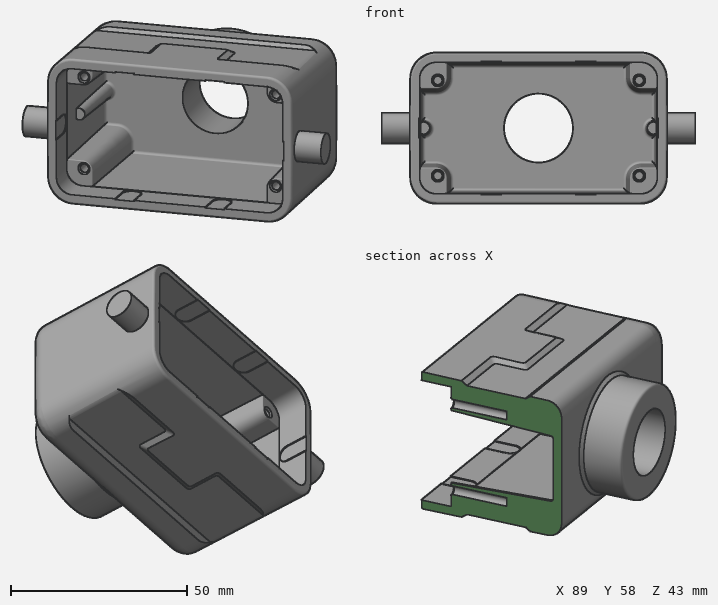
import cadquery as cq
import math

total_length = 89.0
total_depth = 58.0
mouth_height = 43.0
hood_width = 73.2
hood_depth = 44.95
hood_draft = 0.5
corner_radius = 7.6
rear_edge_radius = 4.6
mouth_edge_radius = 0.7

neck_diameter = 34.0
neck_bore_diameter = 19.5
neck_rim_radius = 0.8
neck_root_chamfer = 1.0

pin_diameter = 8.8
pin_from_mouth = 6.2

rim_thickness = 2.85
mouth_section_depth = 9.4
cavity_step = 0.13
cavity_draft = 1.3
cavity_corner_radius = 4.7
floor_thickness = 2.85
floor_edge_radius = 0.8

boss_inner_x = 26.0
boss_inner_z = 11.2
boss_corner_radius = 3.0
boss_draft = 2.0
boss_edge_radius = 0.3
screw_x = 28.6
screw_z = 13.5
screw_hole_diameter = 2.5
screw_hole_depth = 17.8
countersink_diameter = 3.5
countersink_angle = 90.0

rib_diameter = 3.5
rib_center_x = 32.6
rib_start = 17.35

groove_width = 5.6
groove_depth = 0.3
groove_offset_x = 13.4

recess_half_height = 20.2
recess_front = 14.7
recess_rear = 33.4
recess_wall_angle = 56.5
tongue_half_width = 11.7
tongue_end = 24.9
tongue_corner_radius = 2.0
recess_end_radius = 2.0

edge_search_margin = 0.45

half_width = hood_width / 2
half_height = mouth_height / 2
cavity_half_width = half_width - rim_thickness
cavity_half_height = half_height - rim_thickness
floor_y = hood_depth - floor_thickness
drafted_depth = floor_y - mouth_section_depth


def facing_rear(y):
    """Workplane at depth y with its normal along +Y."""
    return cq.Workplane(cq.Plane(origin=(0, y, 0), xDir=(1, 0, 0), normal=(0, 1, 0)))


def make_hood():
    draft = math.tan(math.radians(hood_draft))
    rear_half_height = half_height - hood_depth * draft
    wedge = (
        cq.Workplane("YZ")
        .polyline([
            (0, -half_height),
            (hood_depth, -rear_half_height),
            (hood_depth, rear_half_height),
            (0, half_height),
        ])
        .close()
        .extrude(half_width, both=True)
    )
    edge_half_width = half_width - half_height * draft
    sides = (
        facing_rear(0)
        .polyline([
            (-half_width, 0),
            (-edge_half_width, half_height),
            (edge_half_width, half_height),
            (half_width, 0),
            (edge_half_width, -half_height),
            (-edge_half_width, -half_height),
        ])
        .close()
        .extrude(hood_depth)
    )
    hood = wedge.intersect(sides)
    for low, high in ((-mouth_height, -half_height / 2), (half_height / 2, mouth_height)):
        corners = cq.selectors.BoxSelector(
            (-total_length, hood_depth / 4, low),
            (total_length, hood_depth * 3 / 4, high),
        )
        hood = hood.edges(corners).fillet(corner_radius)
    hood = hood.faces(">Y").edges().fillet(rear_edge_radius)
    return hood.faces("<Y").edges().fillet(mouth_edge_radius)


def add_neck(hood):
    neck_start = hood_depth - rear_edge_radius / 2
    neck = facing_rear(neck_start).circle(neck_diameter / 2).extrude(total_depth - neck_start)
    neck = neck.faces(">Y").edges().fillet(neck_rim_radius)
    joined = hood.union(neck)
    root = cq.selectors.BoxSelector(
        (-neck_diameter, hood_depth - edge_search_margin, -neck_diameter),
        (neck_diameter, hood_depth + edge_search_margin, neck_diameter),
    )
    return joined.edges(root).chamfer(neck_root_chamfer)


def make_recess():
    """Recess cutter for the upper face; its walls slope outward to the surface."""
    depth = half_height - recess_half_height
    floor_plane = cq.Workplane("XY", origin=(0, 0, recess_half_height))
    field = (
        floor_plane
        .center(0, (recess_front + recess_rear) / 2)
        .rect(hood_width, recess_rear - recess_front)
        .extrude(depth, taper=-recess_wall_angle)
    )
    tongue = (
        floor_plane
        .center(0, tongue_end / 2)
        .rect(2 * tongue_half_width, tongue_end)
        .extrude(depth, taper=recess_wall_angle)
    )
    tongue = tongue.faces(">Y").edges("not (|X or |Y)").fillet(tongue_corner_radius)
    recess = field.cut(tongue)
    tongue_roots = cq.selectors.BoxSelector(
        (-tongue_half_width, 0, 0),
        (tongue_half_width, recess_front, mouth_height),
    )
    return recess.edges(tongue_roots).edges("not (|X or |Y)").fillet(tongue_corner_radius)


def round_recess_ends(shell):
    """Round the long edges where the recess floors run out into the hood corners."""
    straight = half_width - corner_radius
    for low, high in ((-half_width, -straight), (straight, half_width)):
        for z in (-recess_half_height, recess_half_height):
            ends = cq.selectors.BoxSelector(
                (low, recess_front, z - edge_search_margin),
                (high, recess_rear, z + edge_search_margin),
            )
            shell = shell.edges(ends).fillet(recess_end_radius)
    return shell


def make_boss(side_x, side_z):
    """Screw boss widening toward the floor; its outer half lies inside the walls."""
    width = half_width - boss_inner_x
    height = half_height - boss_inner_z
    boss = (
        facing_rear(mouth_section_depth)
        .center(side_x * (boss_inner_x + width / 2), side_z * (boss_inner_z + height / 2))
        .sketch()
        .rect(width, height)
        .vertices()
        .fillet(boss_corner_radius)
        .finalize()
        .extrude(hood_depth - mouth_section_depth, taper=-boss_draft)
    )
    return boss.faces("<Y").edges().fillet(boss_edge_radius)


def make_rib(side_x):
    return (
        facing_rear(rib_start)
        .center(side_x * rib_center_x, 0)
        .circle(rib_diameter / 2)
        .extrude(hood_depth - rib_start, taper=-cavity_draft)
    )


def make_drafted_cavity():
    cavity = (
        facing_rear(mouth_section_depth)
        .sketch()
        .rect(2 * (cavity_half_width - cavity_step), 2 * (cavity_half_height - cavity_step))
        .vertices()
        .fillet(cavity_corner_radius)
        .finalize()
        .extrude(drafted_depth, taper=cavity_draft)
    )
    for side_x in (-1, 1):
        cavity = cavity.cut(make_rib(side_x))
        for side_z in (-1, 1):
            cavity = cavity.cut(make_boss(side_x, side_z))
    return cavity.faces(">Y").edges().fillet(floor_edge_radius)


def make_mouth_cavity():
    mouth = (
        facing_rear(0)
        .sketch()
        .rect(2 * cavity_half_width, 2 * cavity_half_height)
        .vertices()
        .fillet(cavity_corner_radius)
        .finalize()
        .extrude(mouth_section_depth)
    )
    bar = (
        cq.Workplane("XY")
        .slot2D(2 * mouth_section_depth, groove_width, 90)
        .extrude(cavity_half_height + groove_depth, both=True)
    )
    side_bar = (
        cq.Workplane("YZ")
        .slot2D(2 * mouth_section_depth, groove_width)
        .extrude(cavity_half_width + groove_depth, both=True)
    )
    for side_x in (-1, 1):
        mouth = mouth.union(bar.translate((side_x * groove_offset_x, 0, 0)))
    return mouth.union(side_bar)


def make_pins():
    pins = cq.Workplane("YZ").center(pin_from_mouth, 0).circle(pin_diameter / 2)
    return pins.extrude(total_length / 2, both=True)


def make_screw_holes():
    half_angle = math.radians(countersink_angle / 2)
    countersink_depth = (countersink_diameter - screw_hole_diameter) / 2 / math.tan(half_angle)
    points = [(x, z) for x in (-screw_x, screw_x) for z in (-screw_z, screw_z)]
    base = facing_rear(mouth_section_depth).pushPoints(points)
    holes = base.circle(screw_hole_diameter / 2).extrude(screw_hole_depth)
    countersinks = base.circle(countersink_diameter / 2).extrude(
        countersink_depth, taper=countersink_angle / 2
    )
    return holes.union(countersinks)


shell = add_neck(make_hood()).union(make_pins())
recess = make_recess()
shell = shell.cut(recess).cut(recess.mirror("XY"))
shell = round_recess_ends(shell)
shell = shell.cut(make_drafted_cavity()).cut(make_mouth_cavity())
shell = shell.cut(make_screw_holes())
bore = facing_rear(0).circle(neck_bore_diameter / 2).extrude(total_depth)
result = shell.cut(bore)